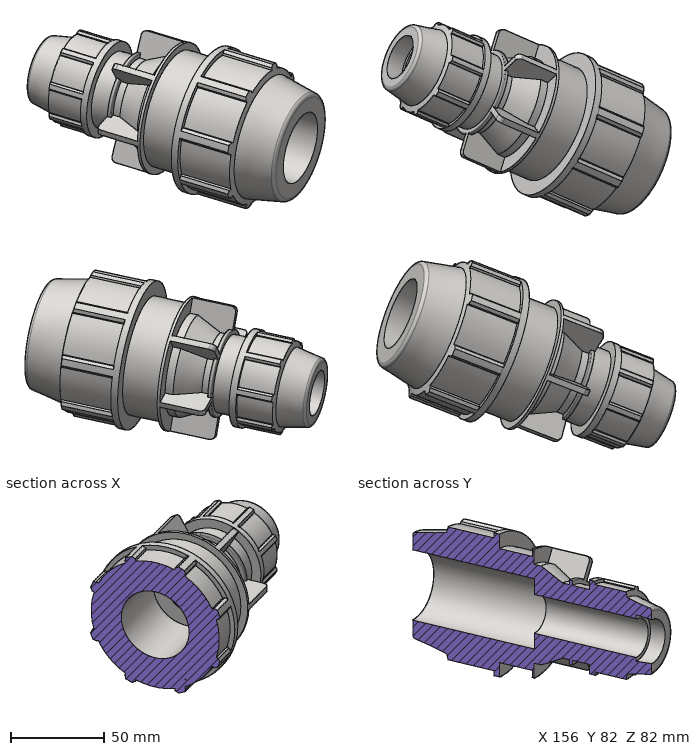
import cadquery as cq
import math

LENGTH = 156.0

SMALL_END_R = 18.9
SMALL_END_ROUND = 1.8
SMALL_SHOULDER_X = 15.8
SMALL_SHOULDER_R = 22.0
SMALL_RIB_START_X = 17.1
SMALL_FLANGE_X = 36.9
SMALL_FLANGE_END_X = 40.7
SMALL_FLANGE_R = 54.0 / 2
SMALL_BODY_R = 25.2
SMALL_RIB_TIP_HALF = 1.35
SMALL_RIB_BASE_HALF = 2.25
SMALL_RIB_FOOT_R = 25.7

LARGE_FLANGE_X = 99.1
LARGE_FLANGE_END_X = 103.0
LARGE_FLANGE_R = 82.0 / 2
LARGE_RIB_END_X = 132.0
LARGE_SHOULDER_X = 133.9
LARGE_SHOULDER_R = 34.8
LARGE_END_R = 30.3
LARGE_END_ROUND = 2.2
LARGE_BODY_R = 38.2
LARGE_RIB_TIP_HALF = 2.0
LARGE_RIB_BASE_HALF = 3.4
LARGE_RIB_FOOT_R = 39.4
RIB_COUNT = 8

NECK_R = 43.2 / 2
COLLAR_X = 51.6
COLLAR_END_X = 53.9
COLLAR_R = 24.3
COLLAR_ROUND = 0.5
CONE_START_X = 58.0
CONE_END_X = 72.0
CONE_END_R = 28.4
RING_X = 76.5
RING_END_X = 78.1
RING_R = 73.8 / 2
BARREL_R = 65.6 / 2

FIN_COUNT = 6
FIN_THICKNESS = 3.3
FIN_CORNER_R = 3.0

SMALL_BORE_R = 25.0 / 2
SMALL_BORE_INNER_R = 13.2
PASSAGE_R = 22.0 / 2
LARGE_BORE_R = 40.0 / 2
SMALL_BORE_DEPTH = 10.0
LARGE_BORE_DEPTH = LENGTH - RING_X


def revolve_about_x(outline):
    """Turn a half profile, drawn as (x, radius), about the X axis."""
    return outline.close().revolve(360, (0, 0, 0), (1, 0, 0))


def cylinder(start_x, end_x, radius):
    return cq.Workplane("YZ").workplane(offset=start_x).circle(radius).extrude(end_x - start_x)


def ribbed_body(start_x, end_x, body_r, foot_r, tip_r, tip_half, base_half):
    """Round body with evenly spaced ribs, none on the Y and Z axes.

    Each flank rises upright from the body to foot_r, then slopes in to the tip.
    """
    pitch = 360.0 / RIB_COUNT
    root_r = body_r / 2
    foot_height = math.sqrt(foot_r ** 2 - base_half ** 2)
    tip_height = math.sqrt(tip_r ** 2 - tip_half ** 2)
    rib = (
        cq.Workplane("YZ")
        .workplane(offset=start_x)
        .moveTo(root_r, -base_half)
        .lineTo(foot_height, -base_half)
        .lineTo(tip_height, -tip_half)
        .threePointArc((tip_r, 0), (tip_height, tip_half))
        .lineTo(foot_height, base_half)
        .lineTo(root_r, base_half)
        .close()
        .extrude(end_x - start_x)
    )
    solid = cylinder(start_x, end_x, body_r)
    for i in range(RIB_COUNT):
        solid = solid.union(rib.rotate((0, 0, 0), (1, 0, 0), (i + 0.5) * pitch))
    return solid


def small_nut():
    nose = revolve_about_x(
        cq.Workplane("XY")
        .lineTo(0, SMALL_END_R)
        .lineTo(SMALL_SHOULDER_X, SMALL_SHOULDER_R)
        .lineTo(SMALL_SHOULDER_X, 0)
    )
    nose = nose.faces("<X").edges().fillet(SMALL_END_ROUND)
    shoulder_envelope = revolve_about_x(
        cq.Workplane("XY")
        .moveTo(SMALL_SHOULDER_X, 0)
        .lineTo(SMALL_SHOULDER_X, SMALL_SHOULDER_R)
        .lineTo(SMALL_RIB_START_X, SMALL_FLANGE_R)
        .lineTo(SMALL_FLANGE_X, SMALL_FLANGE_R)
        .lineTo(SMALL_FLANGE_X, 0)
    )
    body = ribbed_body(
        SMALL_SHOULDER_X, SMALL_FLANGE_X,
        SMALL_BODY_R, SMALL_RIB_FOOT_R, SMALL_FLANGE_R,
        SMALL_RIB_TIP_HALF, SMALL_RIB_BASE_HALF,
    ).intersect(shoulder_envelope)
    flange = cylinder(SMALL_FLANGE_X, SMALL_FLANGE_END_X, SMALL_FLANGE_R)
    return nose.union(body).union(flange)


def large_nut():
    nose = revolve_about_x(
        cq.Workplane("XY")
        .moveTo(LARGE_SHOULDER_X, 0)
        .lineTo(LARGE_SHOULDER_X, LARGE_SHOULDER_R)
        .lineTo(LENGTH, LARGE_END_R)
        .lineTo(LENGTH, 0)
    )
    nose = nose.faces(">X").edges().fillet(LARGE_END_ROUND)
    shoulder_envelope = revolve_about_x(
        cq.Workplane("XY")
        .moveTo(LARGE_FLANGE_END_X, 0)
        .lineTo(LARGE_FLANGE_END_X, LARGE_FLANGE_R)
        .lineTo(LARGE_RIB_END_X, LARGE_FLANGE_R)
        .lineTo(LARGE_SHOULDER_X, LARGE_SHOULDER_R)
        .lineTo(LARGE_SHOULDER_X, 0)
    )
    body = ribbed_body(
        LARGE_FLANGE_END_X, LARGE_SHOULDER_X,
        LARGE_BODY_R, LARGE_RIB_FOOT_R, LARGE_FLANGE_R,
        LARGE_RIB_TIP_HALF, LARGE_RIB_BASE_HALF,
    ).intersect(shoulder_envelope)
    flange = cylinder(LARGE_FLANGE_X, LARGE_FLANGE_END_X, LARGE_FLANGE_R)
    return nose.union(body).union(flange)


def central_body():
    """Neck, cone, ring and barrel, with a rounded collar on the neck."""
    core = revolve_about_x(
        cq.Workplane("XY")
        .moveTo(SMALL_FLANGE_END_X, 0)
        .lineTo(SMALL_FLANGE_END_X, NECK_R)
        .lineTo(CONE_START_X, NECK_R)
        .lineTo(CONE_END_X, CONE_END_R)
        .lineTo(RING_X, CONE_END_R)
        .lineTo(RING_X, RING_R)
        .lineTo(RING_END_X, RING_R)
        .lineTo(RING_END_X, BARREL_R)
        .lineTo(LARGE_FLANGE_X, BARREL_R)
        .lineTo(LARGE_FLANGE_X, 0)
    )
    collar = cylinder(COLLAR_X, COLLAR_END_X, COLLAR_R).edges().fillet(COLLAR_ROUND)
    return core.union(collar)


def fins():
    """Opposite fins made as full-width plates, trimmed to the ring's radius."""
    plate = (
        cq.Workplane("XY")
        .center((COLLAR_X + RING_X) / 2, 0)
        .rect(RING_X - COLLAR_X, 2 * RING_R)
        .extrude(FIN_THICKNESS / 2, both=True)
    )
    trim = cylinder(COLLAR_X, RING_X, RING_R).faces("<X").edges().fillet(FIN_CORNER_R)
    solid = plate
    for i in range(1, FIN_COUNT // 2):
        solid = solid.union(plate.rotate((0, 0, 0), (1, 0, 0), i * 360.0 / FIN_COUNT))
    return solid.intersect(trim)


def bores():
    passage = cylinder(0, LENGTH, PASSAGE_R)
    small_socket = revolve_about_x(
        cq.Workplane("XY")
        .lineTo(0, SMALL_BORE_R)
        .lineTo(SMALL_BORE_DEPTH, SMALL_BORE_INNER_R)
        .lineTo(SMALL_BORE_DEPTH, 0)
    )
    large_socket = cylinder(LENGTH - LARGE_BORE_DEPTH, LENGTH, LARGE_BORE_R)
    return passage.union(small_socket).union(large_socket)


result = central_body().union(fins()).union(small_nut()).union(large_nut()).cut(bores())